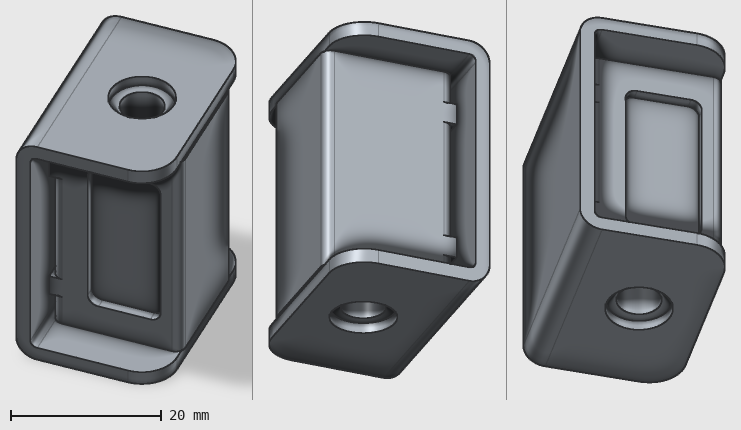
import cadquery as cq

height = 36.0
depth = 30.0
flange_length = 21.0
wall = 2.0
outer_bend_radius = 3.0
inner_bend_radius = outer_bend_radius - wall
flange_corner_radius = 5.0

pivot_x = 12.0
pivot_hole_diameter = 9.0
collar_clearance = 0.07
collar_diameter = pivot_hole_diameter - 2 * collar_clearance
collar_height = 0.58
bore_diameter = 6.0

block_end_x = 21.25
block_width = 2 * (block_end_x - pivot_x)
block_start_x = block_end_x - block_width
block_depth = 18.0
block_height = height - 2 * wall
block_edge_radius = 1.4

rib_start_x = 2.3
rib_height = 3.0
rib_spacing = 19.95
rib_length = block_start_x + block_edge_radius - rib_start_x

pocket_center_x = 13.05
pocket_width = 10.45
pocket_height = 23.0
pocket_depth = 1.5
pocket_corner_radius = 1.5


def make_bracket():
    """Bent channel with rounded flange corners and a hole through both flanges."""
    outside = (
        cq.Workplane("XY")
        .box(flange_length, depth, height, centered=(False, True, True))
        .edges("|Y and <X")
        .fillet(outer_bend_radius)
        .edges("|Z and >X")
        .fillet(flange_corner_radius)
    )
    inside = (
        cq.Workplane("XY")
        .box(flange_length, depth, block_height, centered=(False, True, True))
        .edges("|Y and <X")
        .fillet(inner_bend_radius)
        .translate((wall, 0, 0))
    )
    return outside.cut(inside).cut(pivot_cylinder(pivot_hole_diameter, height))


def pivot_cylinder(diameter, length):
    """Cylinder on the pivot axis, centred at mid-height."""
    return cq.Workplane("XY").center(pivot_x, 0).circle(diameter / 2).extrude(length / 2, both=True)


def make_rib(center_z):
    """Bar across the full depth of the block, flush with its front and back."""
    return (
        cq.Workplane("XY")
        .box(rib_length, block_depth, rib_height, centered=(False, True, True))
        .translate((rib_start_x, 0, center_z))
    )


def make_pocket():
    """Rounded rectangular recess that opens at the front of the block."""
    return (
        cq.Workplane("XY")
        .box(pocket_width, pocket_depth, pocket_height, centered=(True, False, True))
        .edges("|Y")
        .fillet(pocket_corner_radius)
        .translate((pocket_center_x, -block_depth / 2, 0))
    )


def make_block():
    """Block with ribs, a front pocket, and bored collars that sit in the flange holes."""
    block = (
        cq.Workplane("XY")
        .box(block_width, block_depth, block_height)
        .edges("|Z")
        .fillet(block_edge_radius)
        .translate((pivot_x, 0, 0))
    )
    for side in (-1, 1):
        block = block.union(make_rib(side * rib_spacing / 2))
    block = block.union(pivot_cylinder(collar_diameter, block_height + 2 * collar_height))
    return block.cut(make_pocket()).cut(pivot_cylinder(bore_diameter, height))


bracket = make_bracket()
block = make_block()

result = cq.Compound.makeCompound([bracket.solids().val(), block.solids().val()])